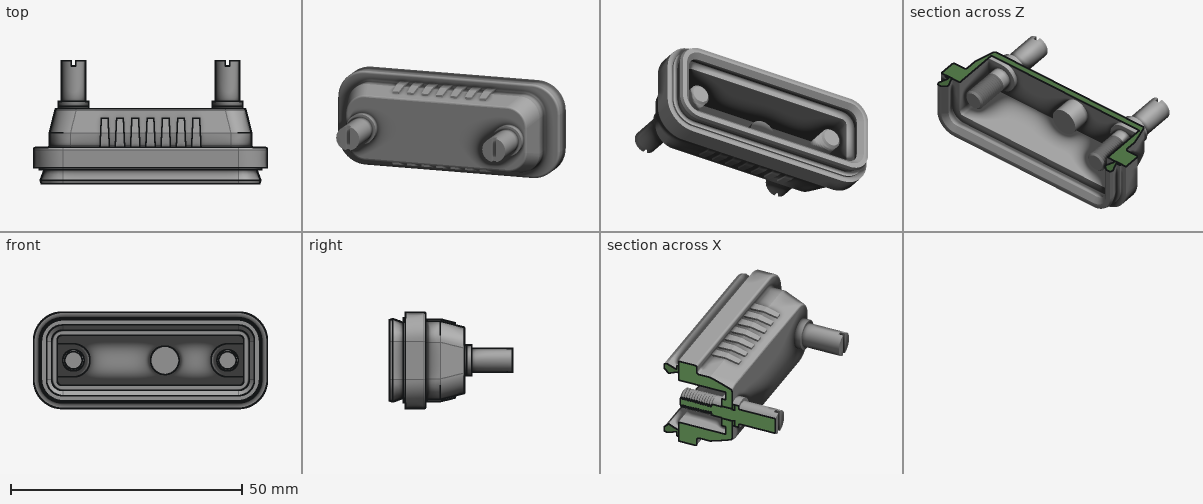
import cadquery as cq
import math


flange_half_x = 50.55 / 2
flange_half_z = 20.88 / 2
flange_corner_radius = 6.3
flange_back = 4.42
flange_edge_radius = 0.5

cover_half_x = 21.85
cover_half_z = 8.45
cover_corner_radius = 4.5
taper_start = 7.56
cover_back = 12.81
taper_angle = 14
cover_edge_radius = 0.45
cover_foot_radius = 0.45

rib_count = 7
rib_pitch = 3.3
rib_height = 0.46
rib_end = 10.73
rib_foot_width = 2.05
rib_end_width = 1.45
rib_root_z = 6.5

cavity_half_x = 20.15
cavity_half_z = 5.4
cavity_corner_radius = 1.0
cavity_floor = 11.2
pad_radius = 3.57
pad_height = 1.0
stud_x = 3.1
stud_radius = 3.08
stud_front = 6.8

screw_spacing = 33.3
shank_radius = 2.63
collar_radius = 3.34
washer_thickness = 0.48
collar_thickness = 1.07
slot_width = 0.95
slot_depth = 1.1
thread_radius = 2.3
thread_pitch = 0.6
thread_turns = 12
thread_root_radius = 1.88
screw_tip = 0.35

seal_front = -3.46
lip_outer_ridge = -2.70
lip_inner_ridge = -2.36
base_front = -0.42
base_outer_inset = 1.25
base_inner_inset = 3.1
neck_outer_inset = 2.3
lip_outer_inset = 1.45
lip_inner_inset = 3.93
tip_outer_inset = 1.7
tip_inner_inset = 2.8

thread_depth = thread_radius - thread_root_radius
screw_xs = (-screw_spacing / 2, screw_spacing / 2)
overall_depth = 26.62
screw_head = seal_front + overall_depth
taper_slope = math.tan(math.radians(taper_angle))
cover_taper = taper_slope * (cover_back - taper_start)
washer_back = cover_back + washer_thickness
collar_back = washer_back + collar_thickness


def depth_plane(x, y):
    """Plane facing +Y, centred at the given X and Y."""
    return cq.Workplane(cq.Plane(origin=(x, y, 0), xDir=(1, 0, 0), normal=(0, 1, 0)))


def rounded_outline(half_x, half_z, radius):
    return cq.Sketch().rect(2 * half_x, 2 * half_z).vertices().fillet(radius)


def rounded_block(half_x, half_z, radius, y_front, y_back):
    outline = rounded_outline(half_x, half_z, radius)
    return depth_plane(0, y_front).placeSketch(outline).extrude(y_back - y_front)


def rounded_loft(front_outline, y_front, back_outline, y_back):
    back = back_outline.moved(cq.Location(cq.Vector(0, 0, y_back - y_front)))
    return depth_plane(0, y_front).placeSketch(front_outline, back).loft(ruled=True)


def cylinder(x, radius, y_front, y_back):
    return depth_plane(x, y_front).circle(radius).extrude(y_back - y_front)


def make_flange():
    flange = rounded_block(flange_half_x, flange_half_z, flange_corner_radius, 0, flange_back)
    return flange.faces(">Y").edges().fillet(flange_edge_radius)


def make_cover():
    band_outline = rounded_outline(cover_half_x, cover_half_z, cover_corner_radius)
    back_outline = rounded_outline(
        cover_half_x - cover_taper, cover_half_z - cover_taper, cover_corner_radius
    )
    band = rounded_block(cover_half_x, cover_half_z, cover_corner_radius, 0, taper_start)
    tapered = rounded_loft(band_outline, taper_start, back_outline, cover_back)
    return band.union(tapered).faces(">Y").edges().fillet(cover_edge_radius)


def fillet_cover_foot(body):
    """Round the inner corner where the cover rises from the back of the flange."""
    margin = 0.1
    foot = cq.selectors.BoxSelector(
        (-cover_half_x - margin, flange_back - margin, -cover_half_z - margin),
        (cover_half_x + margin, flange_back + margin, cover_half_z + margin),
    )
    return body.edges(foot).fillet(cover_foot_radius)


def make_rib(x):
    """One rib on the +Z side: follows the cover wall and narrows toward the back."""
    outer_z = cover_half_z + rib_height
    end_z = outer_z - taper_slope * (rib_end - taper_start)
    side = (
        cq.Workplane("YZ", origin=(x, 0, 0))
        .moveTo(flange_back, rib_root_z)
        .lineTo(flange_back, outer_z)
        .lineTo(taper_start, outer_z)
        .lineTo(rib_end, end_z)
        .lineTo(rib_end, rib_root_z)
        .close()
        .extrude(rib_foot_width / 2, both=True)
    )
    plan = (
        cq.Workplane("XY", origin=(x, 0, 0))
        .moveTo(-rib_foot_width / 2, flange_back)
        .lineTo(rib_foot_width / 2, flange_back)
        .lineTo(rib_end_width / 2, rib_end)
        .lineTo(-rib_end_width / 2, rib_end)
        .close()
        .extrude(outer_z)
    )
    return side.intersect(plan)


def make_pad(side):
    """Pad on the cavity floor around a screw, running out to the end wall; side is -1 or 1."""
    screw_x = side * screw_spacing / 2
    pad_front = cavity_floor - pad_height
    run = cavity_half_x - screw_spacing / 2
    arm = (
        depth_plane(screw_x + side * run / 2, pad_front)
        .rect(run, 2 * pad_radius)
        .extrude(pad_height)
    )
    return cylinder(screw_x, pad_radius, pad_front, cavity_floor).union(arm)


def make_housing():
    body = fillet_cover_foot(make_flange().union(make_cover()))
    for index in range(rib_count):
        rib = make_rib((index - (rib_count - 1) / 2) * rib_pitch)
        body = body.union(rib).union(rib.mirror("XY"))
    body = body.cut(
        rounded_block(cavity_half_x, cavity_half_z, cavity_corner_radius, 0, cavity_floor)
    )
    body = body.union(cylinder(stud_x, stud_radius, stud_front, cavity_floor))
    for side in (-1, 1):
        body = body.union(make_pad(side))
    for x in screw_xs:
        body = body.cut(cylinder(x, thread_radius, 0, cover_back))
    return body


def inset_outline(inset):
    """Flange outline moved inward by the inset, with concentric corners."""
    return rounded_outline(
        flange_half_x - inset, flange_half_z - inset, flange_corner_radius - inset
    )


def inset_stage(front_inset, y_front, back_inset, y_back):
    """Solid blending between two inset outlines at two depths."""
    return rounded_loft(inset_outline(front_inset), y_front, inset_outline(back_inset), y_back)


def make_seal():
    outside = (
        inset_stage(tip_outer_inset, seal_front, lip_outer_inset, lip_outer_ridge)
        .union(inset_stage(lip_outer_inset, lip_outer_ridge, neck_outer_inset, base_front))
        .union(inset_stage(base_outer_inset, base_front, base_outer_inset, 0))
    )
    opening = (
        inset_stage(tip_inner_inset, seal_front, lip_inner_inset, lip_inner_ridge)
        .union(inset_stage(lip_inner_inset, lip_inner_ridge, base_inner_inset, base_front))
        .union(inset_stage(base_inner_inset, base_front, base_inner_inset, 0))
    )
    return outside.cut(opening)


def make_screw(x):
    """Slotted jack screw turned about its own axis; the thread is a stack of V grooves."""
    profile = (
        cq.Workplane("XY", origin=(x, 0, 0))
        .moveTo(0, screw_tip)
        .lineTo(thread_root_radius, screw_tip)
        .lineTo(thread_radius, screw_tip + thread_depth)
    )
    for turn in range(thread_turns):
        crest = screw_tip + thread_depth + turn * thread_pitch
        profile = profile.lineTo(thread_root_radius, crest + thread_pitch / 2)
        profile = profile.lineTo(thread_radius, crest + thread_pitch)
    screw = (
        profile.lineTo(thread_radius, washer_back)
        .lineTo(collar_radius, washer_back)
        .lineTo(collar_radius, collar_back)
        .lineTo(shank_radius, collar_back)
        .lineTo(shank_radius, screw_head)
        .lineTo(0, screw_head)
        .close()
        .revolve(360, (0, 0, 0), (0, 1, 0))
    )
    slot = (
        depth_plane(x, screw_head - slot_depth)
        .rect(slot_width, 2 * shank_radius)
        .extrude(slot_depth)
    )
    return screw.cut(slot)


def make_washer(x):
    washer = cylinder(x, collar_radius, cover_back, washer_back)
    return washer.cut(cylinder(x, thread_radius, cover_back, washer_back))


housing = make_housing()
seal = make_seal()
screws = [make_screw(x) for x in screw_xs]
washers = [make_washer(x) for x in screw_xs]

result = cq.Compound.makeCompound(
    [
        housing.val(),
        seal.val(),
        *[screw.val() for screw in screws],
        *[washer.val() for washer in washers],
    ]
)